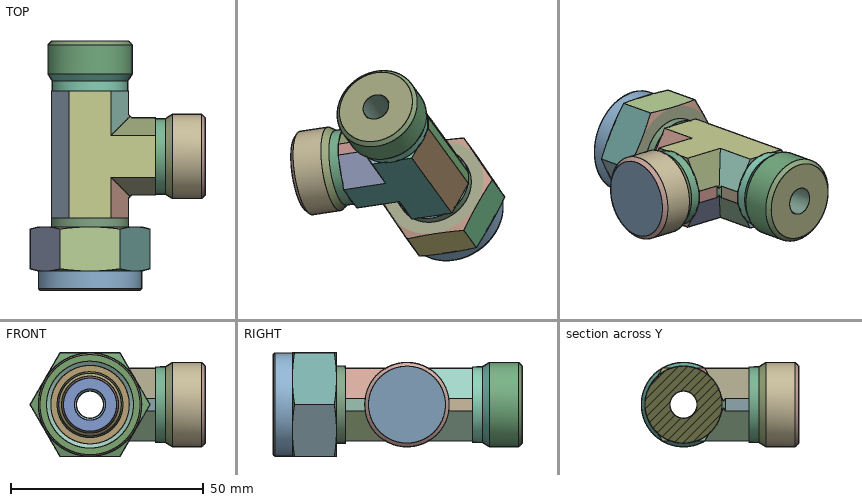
import cadquery as cq
import math


body_flats = 19.0
body_half_width = 10.05
body_end = 17.0
body_tail = 16.0
inner_corner_bevel = 0.8

port_reach = 30.0
thread_radius = 11.0
thread_chamfer = 1.0
thread_start = 21.4
neck_radius = 9.85
neck_outer_end = 19.6

nut_flats = 27.0
nut_rear = 18.3
nut_hex_front = 29.8
nut_front = 34.8
nut_bevel_radius = 13.4
nut_bevel_angle = 15.0
nut_collar_radius = 13.45
nut_collar_chamfer = 0.45
nut_bore_radius = 10.2
nut_mouth_radius = 11.3
nut_mouth_depth = 0.8
nut_bore_floor = 25.4

collar_radius = 10.05

cone_tip = 33.2
cone_tip_radius = 6.9
cone_half_angle = 12.0
ring_radius = 7.25
ring_section_radius = 0.9
ring_position = 29.9

bore_radius = 3.5
bore_chamfer = 0.55


def hexagon_circle(across_flats):
    """Diameter of the circle through the corners of a hexagon."""
    return across_flats / math.cos(math.radians(30))


def revolve_on_y(outline):
    """Solid of revolution about Y from (radius, y) points."""
    return cq.Workplane("XY").polyline(outline).close().revolve(360, (0, 0, 0), (0, 1, 0))


def hexagon_on_y(across_flats, y_low, y_high):
    """Hexagonal bar along Y with flats facing +Z and -Z."""
    bar = cq.Workplane("XZ", origin=(0, y_high, 0)).polygon(6, hexagon_circle(across_flats))
    return bar.extrude(y_high - y_low)


def turn_to_branch(shape):
    """Swing a shape from the +Y direction to the +X direction."""
    return shape.rotate((0, 0, 0), (0, 0, 1), -90)


def make_body():
    run = hexagon_on_y(body_flats, -body_tail, body_end)
    branch = turn_to_branch(hexagon_on_y(body_flats, 0, body_end))
    w = body_half_width
    bevelled = w + inner_corner_bevel
    plan = [
        (-w, -body_tail),
        (w, -body_tail),
        (w, -bevelled),
        (bevelled, -w),
        (body_end, -w),
        (body_end, w),
        (bevelled, w),
        (w, bevelled),
        (w, body_end),
        (-w, body_end),
    ]
    side_limits = cq.Workplane("XY").polyline(plan).close().extrude(body_flats / 2, both=True)
    return run.union(branch).intersect(side_limits)


def make_threaded_end():
    return revolve_on_y([
        (0, body_end),
        (neck_radius, body_end),
        (neck_radius, neck_outer_end),
        (thread_radius, thread_start),
        (thread_radius, port_reach - thread_chamfer),
        (thread_radius - thread_chamfer, port_reach),
        (0, port_reach),
    ])


def make_nut():
    hexagon = hexagon_on_y(nut_flats, -nut_hex_front, -nut_rear)
    corner_radius = hexagon_circle(nut_flats) / 2
    bevel_length = (corner_radius - nut_bevel_radius) * math.tan(math.radians(nut_bevel_angle))
    bevel_limits = revolve_on_y([
        (0, -nut_rear),
        (nut_bevel_radius, -nut_rear),
        (corner_radius, -nut_rear - bevel_length),
        (corner_radius, -nut_hex_front + bevel_length),
        (nut_bevel_radius, -nut_hex_front),
        (0, -nut_hex_front),
    ])
    collar = revolve_on_y([
        (0, -nut_hex_front),
        (nut_collar_radius, -nut_hex_front),
        (nut_collar_radius, -nut_front + nut_collar_chamfer),
        (nut_collar_radius - nut_collar_chamfer, -nut_front),
        (0, -nut_front),
    ])
    recess = revolve_on_y([
        (0, -nut_bore_floor),
        (nut_bore_radius, -nut_bore_floor),
        (nut_bore_radius, -nut_front + nut_mouth_depth),
        (nut_mouth_radius, -nut_front),
        (0, -nut_front),
    ])
    return hexagon.intersect(bevel_limits).union(collar).cut(recess)


def make_collar():
    return cq.Workplane("XZ", origin=(0, -body_tail, 0)).circle(collar_radius).extrude(nut_rear - body_tail)


def make_sealing_cone():
    cone_length = cone_tip - nut_bore_floor
    base_radius = cone_tip_radius + cone_length * math.tan(math.radians(cone_half_angle))
    cone = revolve_on_y([
        (0, -nut_bore_floor),
        (base_radius, -nut_bore_floor),
        (cone_tip_radius, -cone_tip),
        (0, -cone_tip),
    ])
    section = cq.Workplane("XY").center(ring_radius, -ring_position).circle(ring_section_radius)
    o_ring = section.revolve(360, (-ring_radius, 0, 0), (-ring_radius, 1, 0))
    return cone.union(o_ring)


def make_bore():
    return revolve_on_y([
        (0, port_reach),
        (bore_radius, port_reach),
        (bore_radius, -cone_tip + bore_chamfer),
        (bore_radius + bore_chamfer, -cone_tip),
        (0, -cone_tip),
    ])


threaded_end = make_threaded_end()

result = (
    make_body()
    .union(threaded_end)
    .union(turn_to_branch(threaded_end))
    .union(make_collar())
    .union(make_nut())
    .union(make_sealing_cone())
    .cut(make_bore())
)